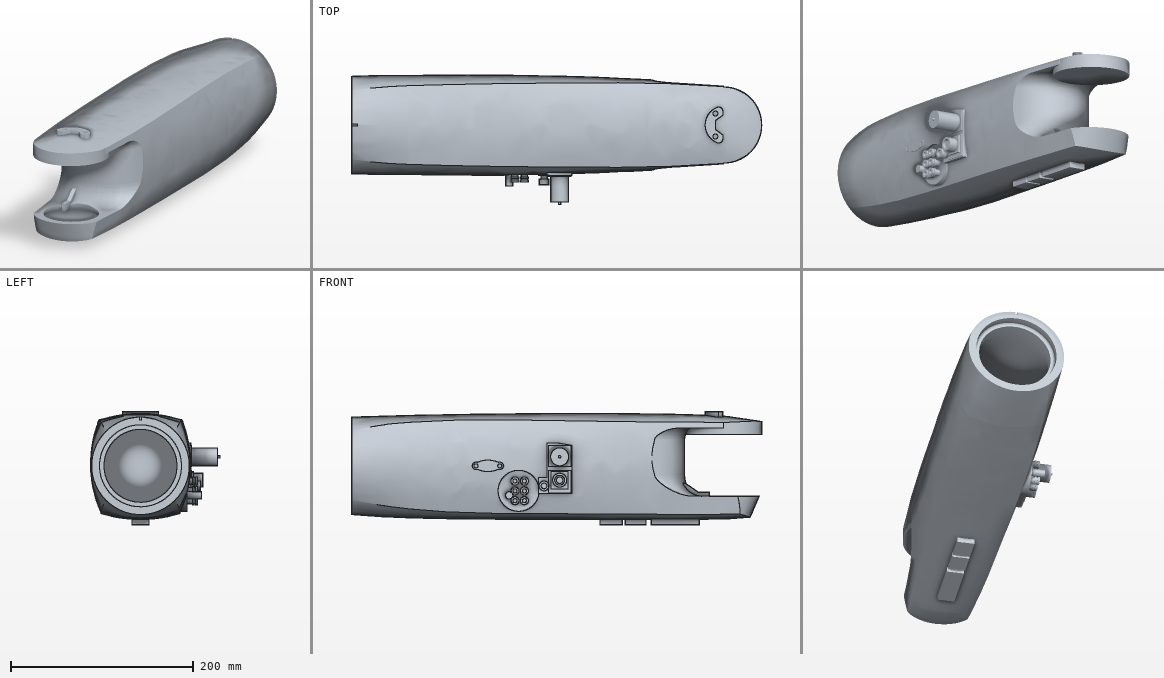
import cadquery as cq
import math

LENGTH = 450.5
COLLAR_RADIUS = 53.5
COLLAR_CORNER = COLLAR_RADIUS * math.sqrt(0.5)
COLLAR_LENGTH = 62.5

COUNTERBORE_RADIUS = 45.0
COUNTERBORE_DEPTH = 9.0
BORE_RADIUS = 40.0
BORE_DEPTH = 180.0
NOTCH_LENGTH = 6.5
NOTCH_WIDTH = 2.0
NOTCH_FLOOR_Z = 50.5

NOSE_RADIUS = 42.0
NOSE_X = LENGTH - NOSE_RADIUS
CAP_X = 412.0
LOWER_TIP_X = 447.5
LOWER_TIP_BASE_X = 435.5
FORK_TOP_Z = 41.5
FORK_BOTTOM_Z = -33.5
THROAT_RADIUS = 52.2
THROAT_X = 313.5
THROAT_TOP_FILLET = 12.0
THROAT_BOTTOM_FILLET = 22.5
JOINT_PAD_Z = 34.2
SEAT_RADIUS = 30.5
SEAT_DEPTH = 5.5

TOP_Z = 59.5
UNDERSIDE_Z = -59.0
HEIGHT = 124.5
BADGE_Z = TOP_Z - HEIGHT
OUTSIDE = 135.0
OVERLAP = 2.3

SIDE_PLATE_Y = -55.5
SPOT_FACE_Y = -51.5
FLANGE_Y = -56.5
EMBED_Y = -40.5
PIN_TIP_Y = -87.5
CONNECTOR_X = 228.5

PORT_X = 183.5
PORT_Z = -27.5
PORT_RADIUS = 22.5
PORT_EMBED_Y = -31.5


def section(x, side, top_y, corner_top, crown_top, bottom_y, corner_bottom, crown_bottom):
    """Four-arc section at x.

    Crowns and sides are the middles of the arcs; top_y and bottom_y are the half widths at the corners.
    """
    return (
        cq.Workplane("YZ", origin=(x, 0, 0))
        .moveTo(-top_y, corner_top)
        .threePointArc((0, crown_top), (top_y, corner_top))
        .threePointArc((side, 0), (bottom_y, -corner_bottom))
        .threePointArc((0, -crown_bottom), (-bottom_y, -corner_bottom))
        .threePointArc((-side, 0), (-top_y, corner_top))
        .close()
        .val()
    )


def cylinder(x, z, radius, y_inner, y_outer):
    """Cylinder along -Y from y_inner out to y_outer."""
    return cq.Workplane("XZ", origin=(x, y_inner, z)).circle(radius).extrude(y_inner - y_outer)


def block(x_min, x_max, y_min, y_max, z_min, z_max):
    """Box given by its limits."""
    size = (x_max - x_min, y_max - y_min, z_max - z_min)
    return cq.Workplane("XY", origin=(x_min, y_min, z_min)).box(*size, centered=False)


def arm_shell():
    """Round collar that swells into a squarish, slowly tapering body."""
    c = COLLAR_CORNER
    r = COLLAR_RADIUS
    collar_end = section(COLLAR_LENGTH, 54.5, 43.2, 47.7, 55.5, 42.5, 47.5, 57.0)
    collar = [
        section(0, r, c, c, r, c, c, r),
        section(COLLAR_LENGTH / 2, 54.5, 41.5, 44.5, 54.5, 41.0, 43.2, 56.0),
        collar_end,
    ]
    cap_start = section(CAP_X, 43.0, NOSE_RADIUS, 47.7, 54.5, 35.0, 53.0, 58.5)
    body = [
        collar_end,
        section(135, 55.0, 45.0, 50.5, 56.8, 43.2, 52.0, 58.5),
        section(234, 53.5, 46.5, 49.5, 57.5, 42.5, 52.5, 59.0),
        section(329, 49.5, 46.0, 48.0, 57.0, 40.0, 53.0, 59.0),
        cap_start,
    ]
    cap = [cap_start, section(LENGTH, 42.5, 41.5, 47.5, 48.5, 31.5, 53.0, 55.5)]
    shell = cq.Workplane()
    for wires in (collar, body, cap):
        shell = shell.add(cq.Solid.makeLoft(wires))
    return shell.combine()


def nose_outline(plane, tip_x):
    """Half ellipse with its straight side at NOSE_X and its tip at tip_x."""
    return (
        plane.moveTo(NOSE_X, -NOSE_RADIUS)
        .ellipseArc(tip_x - NOSE_X, NOSE_RADIUS, -90, 90, startAtCurrent=True)
        .close()
    )


def nose_envelope():
    """Upright nose above the fork gap, raked nose below it, everything before the noses."""
    upper_plane = cq.Workplane("XY", origin=(0, 0, FORK_BOTTOM_Z))
    upper = nose_outline(upper_plane, LENGTH).extrude(OUTSIDE)
    lower_wires = []
    for z, tip_x in ((FORK_BOTTOM_Z, LOWER_TIP_X), (UNDERSIDE_Z - OVERLAP, LOWER_TIP_BASE_X)):
        outline = nose_outline(cq.Workplane("XY", origin=(0, 0, z)), tip_x)
        lower_wires.append(outline.val())
    lower = cq.Workplane(cq.Solid.makeLoft(lower_wires, True))
    rear = block(-4.5, NOSE_X, -OUTSIDE, OUTSIDE, -OUTSIDE, OUTSIDE)
    return rear.union(upper).union(lower)


def fork_gap():
    """Half ring that leaves a convex throat, filleted into both fork arms."""
    diag = 1 - math.sqrt(0.5)
    r_in = THROAT_RADIUS
    r_out = OUTSIDE + LENGTH - THROAT_X
    top = THROAT_TOP_FILLET
    bottom = THROAT_BOTTOM_FILLET
    return (
        cq.Workplane("XZ", origin=(THROAT_X, 0, 0))
        .moveTo(r_out, FORK_TOP_Z)
        .lineTo(r_in + top, FORK_TOP_Z)
        .threePointArc((r_in + diag * top, FORK_TOP_Z - diag * top), (r_in, FORK_TOP_Z - top))
        .lineTo(r_in, FORK_BOTTOM_Z + bottom)
        .threePointArc(
            (r_in + diag * bottom, FORK_BOTTOM_Z + diag * bottom),
            (r_in + bottom, FORK_BOTTOM_Z),
        )
        .lineTo(r_out, FORK_BOTTOM_Z)
        .close()
        .revolve(180, (0, 0, 0), (0, 1, 0))
        .rotate((THROAT_X, 0, 0), (THROAT_X, 0, 1), -90)
    )


def joint_pad():
    """Round pad under the upper fork arm."""
    plane = cq.Workplane("XY", origin=(NOSE_X, 0, JOINT_PAD_Z))
    return plane.circle(NOSE_RADIUS).extrude(FORK_TOP_Z - JOINT_PAD_Z + OVERLAP)


def bearing_seat():
    """Round recess in the lower fork arm."""
    plane = cq.Workplane("XY", origin=(NOSE_X, 0, FORK_BOTTOM_Z - SEAT_DEPTH))
    return plane.circle(SEAT_RADIUS).extrude(SEAT_DEPTH + OVERLAP)


def collar_bore():
    """Stepped blind bore and the index notch on top of the collar face."""
    face = cq.Workplane("YZ")
    bore = face.circle(BORE_RADIUS).extrude(BORE_DEPTH)
    counterbore = face.circle(COUNTERBORE_RADIUS).extrude(COUNTERBORE_DEPTH)
    half = NOTCH_WIDTH / 2
    notch = block(0, NOTCH_LENGTH, -half, half, NOTCH_FLOOR_Z, TOP_Z)
    return bore.union(counterbore).union(notch)


def top_plate():
    """Crescent plate with two screw holes on the upper fork arm."""
    rear_x, inner_x, front_x = 388.3, 399.5, 407.5
    hole_y, hole_radius, hole_depth = 12.5, 2.5, 2.5
    plate = (
        cq.Workplane("XY", origin=(0, 0, FORK_TOP_Z + OVERLAP))
        .moveTo(402.5, 20.0)
        .threePointArc((rear_x, 0), (402.5, -20.0))
        .threePointArc((406.5, -18.5), (front_x, -15.5))
        .lineTo(front_x, -11.0)
        .lineTo(inner_x, -5.0)
        .lineTo(inner_x, 5.0)
        .lineTo(front_x, 11.0)
        .lineTo(front_x, 15.5)
        .threePointArc((406.5, 18.5), (402.5, 20.0))
        .close()
        .extrude(TOP_Z - FORK_TOP_Z - OVERLAP)
    )
    holes = (
        cq.Workplane("XY", origin=(0, 0, TOP_Z - hole_depth))
        .pushPoints([(inner_x, hole_y), (inner_x, -hole_y)])
        .circle(hole_radius)
        .extrude(hole_depth)
    )
    return plate.cut(holes)


def badges():
    """Three raised pads in a row on the underside."""
    half = 9.5
    pads = cq.Workplane()
    for x_min, x_max in ((272.5, 297.5), (300.5, 323.5), (329.0, 382.0)):
        pads = pads.add(block(x_min, x_max, -half, half, BADGE_Z, UNDERSIDE_Z + OVERLAP))
    return pads.combine()


def throat_bracket():
    """Ledge on the lower fork arm with a triangular gusset against the throat."""
    y_min, y_max = -19.0, -14.5
    ledge_z = FORK_BOTTOM_Z + 4.5
    ledge = block(356.0, 392.8, y_min, y_max, FORK_BOTTOM_Z - SEAT_DEPTH, ledge_z)
    root_x, crest_x, toe_x, crest_z = 347.0, 366.0, 380.5, -19.0
    gusset = (
        cq.Workplane("XZ", origin=(0, y_max, 0))
        .moveTo(root_x, FORK_BOTTOM_Z)
        .lineTo(root_x, crest_z)
        .lineTo(crest_x, crest_z)
        .lineTo(toe_x, ledge_z)
        .lineTo(toe_x, FORK_BOTTOM_Z)
        .close()
        .extrude(y_max - y_min)
    )
    return ledge.union(gusset)


def side_cover():
    """Pointed oval cover on the -Y side with a screw hole at each end."""
    x_mid, half_length, half_height = 149.5, 17.5, 6.5
    hole_offset, hole_radius, hole_depth, rim_radius = 13.0, 2.3, 2.3, 4.0
    cover = (
        cq.Workplane("XZ", origin=(x_mid, EMBED_Y, 0))
        .moveTo(-half_length, 0)
        .threePointArc((0, half_height), (half_length, 0))
        .threePointArc((0, -half_height), (-half_length, 0))
        .close()
        .extrude(EMBED_Y - SIDE_PLATE_Y)
    )
    for side in (-1, 1):
        x_hole = x_mid + side * hole_offset
        cover = cover.union(cylinder(x_hole, 0, rim_radius, EMBED_Y, SIDE_PLATE_Y))
        cover = cover.cut(cylinder(x_hole, 0, hole_radius, SIDE_PLATE_Y + hole_depth, SIDE_PLATE_Y))
    return cover


def coupling(x, z):
    """Hollow coupling with two collars."""
    tip_y, bore_floor_y = -62.5, -58.0
    neck_radius, collar_radius, bore_radius = 3.5, 4.5, 2.3
    body = cylinder(x, z, neck_radius, PORT_EMBED_Y, tip_y)
    for collar_inner, collar_outer in ((-57.0, -59.0), (-60.5, tip_y)):
        body = body.union(cylinder(x, z, collar_radius, collar_inner, collar_outer))
    return body.cut(cylinder(x, z, bore_radius, bore_floor_y, tip_y))


def port_plate():
    """Round flat plate carrying six couplings and a guide pin."""
    row_pitch = 11.0
    pin_x, pin_z, pin_radius, pin_tip_y = 173.0, -32.5, 4.0, -67.0
    plate = cylinder(PORT_X, PORT_Z, PORT_RADIUS, PORT_EMBED_Y, SPOT_FACE_Y)
    for x in (179.3, 189.5):
        for row in (-1, 0, 1):
            plate = plate.union(coupling(x, PORT_Z + row * row_pitch))
    return plate.union(cylinder(pin_x, pin_z, pin_radius, PORT_EMBED_Y, pin_tip_y))


def connector_base():
    """Plate with one sloped corner, a side tab and two raised rectangular flanges."""
    x_min, x_max, x_slope = 214.5, 242.0, 225.0
    z_min, z_max, z_slope_end = -30.5, 25.0, 22.5
    tab_x, tab_z = 205.5, -13.0
    base = (
        cq.Workplane("XZ", origin=(0, EMBED_Y, 0))
        .moveTo(x_min, z_min)
        .lineTo(x_min, z_max)
        .lineTo(x_slope, z_max)
        .lineTo(x_max, z_slope_end)
        .lineTo(x_max, z_min)
        .close()
        .extrude(EMBED_Y - SIDE_PLATE_Y)
    )
    base = base.union(block(tab_x, x_min, SIDE_PLATE_Y, EMBED_Y, z_min, tab_z))
    for flange_bottom, flange_top in ((-1.0, 22.0), (-29.7, -5.0)):
        base = base.union(block(216.0, 241.0, FLANGE_Y, EMBED_Y, flange_bottom, flange_top))
    return base


def motor_plug():
    """Long plain plug with a small pin on its end."""
    z, radius, end_y, pin_radius = 10.0, 10.0, -84.5, 1.5
    plug = cylinder(CONNECTOR_X, z, radius, EMBED_Y, end_y)
    return plug.union(cylinder(CONNECTOR_X, z, pin_radius, end_y + OVERLAP, PIN_TIP_Y))


def large_socket():
    """Round socket with a central core, standing on a square pad."""
    z, radius, bore_radius, core_radius = -15.8, 7.5, 5.5, 3.5
    end_y, floor_y, core_end_y = -68.5, -64.0, -66.5
    pad_half, pad_y = 9.5, -58.0
    pad = block(CONNECTOR_X - pad_half, CONNECTOR_X + pad_half, pad_y, EMBED_Y, z - pad_half, z + pad_half)
    socket = pad.union(cylinder(CONNECTOR_X, z, radius, EMBED_Y, end_y))
    socket = socket.cut(cylinder(CONNECTOR_X, z, bore_radius, floor_y, end_y))
    return socket.union(cylinder(CONNECTOR_X, z, core_radius, floor_y + OVERLAP, core_end_y))


def small_socket():
    """Round socket with a wider head on the side tab."""
    x, z, neck_radius, head_radius, bore_radius = 211.2, -22.0, 3.5, 5.5, 3.0
    head_y, floor_y, end_y = -59.5, -63.0, -65.8
    socket = cylinder(x, z, neck_radius, EMBED_Y, end_y)
    socket = socket.union(cylinder(x, z, head_radius, head_y, end_y))
    return socket.cut(cylinder(x, z, bore_radius, floor_y, end_y))


result = arm_shell().intersect(nose_envelope()).cut(fork_gap())
result = result.union(joint_pad()).cut(bearing_seat()).union(throat_bracket())
result = result.cut(cylinder(PORT_X, PORT_Z, PORT_RADIUS, SPOT_FACE_Y, -OUTSIDE))
side_parts = (side_cover, port_plate, connector_base, motor_plug, large_socket, small_socket)
for build_side_part in side_parts:
    result = result.union(build_side_part())
result = result.union(top_plate()).union(badges()).cut(collar_bore())